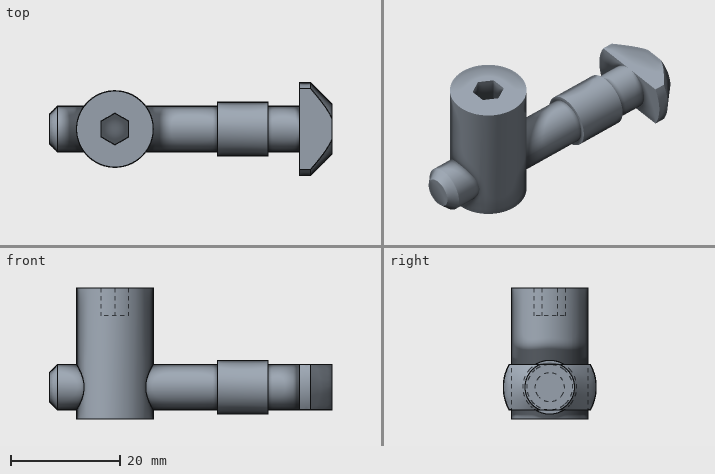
import cadquery as cq

total_length = 51.7
shaft_diameter = 8.3
tip_chamfer = 1.5

collar_diameter = 9.8
collar_start = 30.7
collar_length = 9.25

head_diameter = 17.0
head_length = 6.0
head_rim_length = 2.0

barrel_diameter = 14.0
barrel_height = 24.0
barrel_x = 12.0
barrel_bottom = -5.85

socket_across_flats = 5.0
socket_depth = 5.0


def rod(diameter, start, length):
    """Round bar along X, centred on the shaft axis."""
    return cq.Workplane("YZ", origin=(start, 0, 0)).circle(diameter / 2).extrude(length)


def make_shaft():
    return rod(shaft_diameter, 0, total_length - head_length / 2).faces("<X").chamfer(tip_chamfer)


def make_head():
    """Disc with a 45-degree cone, cut to two flats level with the shaft."""
    cone_length = head_length - head_rim_length
    head_start = total_length - head_length
    disc = rod(head_diameter, head_start, head_length).faces(">X").edges().chamfer(cone_length)
    flats = cq.Workplane("XY").box(total_length, head_diameter, shaft_diameter)
    return disc.intersect(flats.translate((total_length / 2, 0, 0)))


def make_barrel():
    return (
        cq.Workplane("XY", origin=(barrel_x, 0, barrel_bottom))
        .circle(barrel_diameter / 2)
        .extrude(barrel_height)
    )


def make_socket():
    """Hexagonal prism with two of its corners on the Y line through the barrel axis."""
    barrel_top = barrel_bottom + barrel_height
    return (
        cq.Workplane("XY", origin=(barrel_x, 0, barrel_top))
        .polygon(6, socket_across_flats, circumscribed=True)
        .extrude(-socket_depth)
    )


collar = rod(collar_diameter, collar_start, collar_length)
result = make_shaft().union(collar).union(make_head()).union(make_barrel()).cut(make_socket())